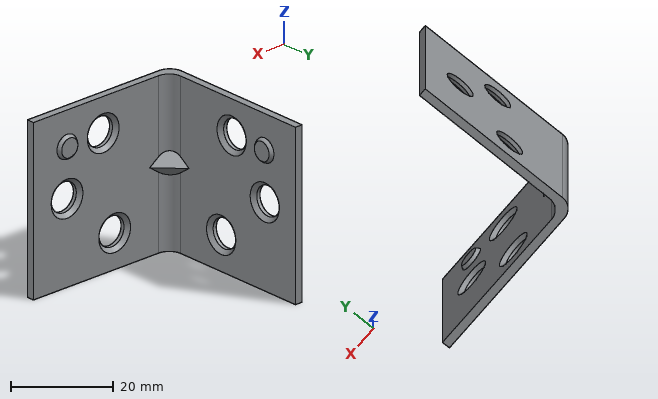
import cadquery as cq
import math

size = 38.1
thickness = 1.8
bend_radius = 3.05

hole_diameter = 6.6
hole_straight_depth = 0.88
countersink_angle = 90
mid_height = size / 2
row_offset = 11.15
far_hole_distance = 29.2
holes = [
    (19.6, mid_height + row_offset),
    (far_hole_distance, mid_height),
    (16.55, mid_height - row_offset),
]

nub_base_radius = 2.65
nub_middle_radius = 2.48
nub_top_radius = 2.15
nub_height = 0.8
nub_position = (far_hole_distance, mid_height + row_offset)

dart_leg = 5.45
dart_half_height = dart_leg / math.sqrt(2)


def make_angle():
    """L-shaped sheet with a rounded bend, extruded along Z."""
    outline = (
        cq.Workplane("XY")
        .polyline([(0, 0), (size, 0), (size, thickness), (thickness, thickness), (thickness, size), (0, size)])
        .close()
        .extrude(size)
    )
    outer_edge = cq.selectors.NearestToPointSelector((0, 0, mid_height))
    inner_edge = cq.selectors.NearestToPointSelector((thickness, thickness, mid_height))
    return outline.edges(outer_edge).fillet(bend_radius).edges(inner_edge).fillet(bend_radius)


def make_dart():
    """Wedge with its widest section at mid height, tapering into the corner above and below."""
    corner = cq.Vector(thickness, thickness, 0)
    along_x = corner + cq.Vector(dart_leg, 0, mid_height)
    along_y = corner + cq.Vector(0, dart_leg, mid_height)
    top = corner + cq.Vector(0, 0, mid_height + dart_half_height)
    bottom = corner + cq.Vector(0, 0, mid_height - dart_half_height)
    triangles = [
        (along_x, along_y, top),
        (along_y, along_x, bottom),
        (along_x, top, bottom),
        (along_y, bottom, top),
    ]
    faces = [cq.Face.makeFromWires(cq.Wire.makePolygon(points, close=True)) for points in triangles]
    return cq.Workplane(obj=cq.Solid.makeSolid(cq.Shell.makeShell(faces)))


def mirror_to_other_flange(body):
    """Swap X and Y by reflecting across the diagonal plane of the bend."""
    return body.mirror("XZ").rotate((0, 0, 0), (0, 0, 1), 90)


def make_hole_cutters():
    """Cutters through the flange that lies along X, widening toward its inner face."""
    cutters = cq.Workplane("XZ").pushPoints(holes).circle(hole_diameter / 2).extrude(-thickness)
    straight_radius = hole_diameter / 2
    countersink_depth = thickness - hole_straight_depth
    mouth_radius = straight_radius + countersink_depth * math.tan(math.radians(countersink_angle / 2))
    for distance, height in holes:
        base = cq.Vector(distance, hole_straight_depth, height)
        cone = cq.Solid.makeCone(straight_radius, mouth_radius, countersink_depth, base, cq.Vector(0, 1, 0))
        cutters = cutters.add(cone)
    return cutters.combine()


def make_nub():
    """Round nub with a convex flank on the inner face of the flange that lies along X."""
    distance, height = nub_position
    return (
        cq.Workplane("XY", origin=(distance, thickness, height))
        .lineTo(nub_base_radius, 0)
        .threePointArc((nub_middle_radius, nub_height / 2), (nub_top_radius, nub_height))
        .lineTo(0, nub_height)
        .close()
        .revolve(360, (0, 0), (0, 1))
    )


hole_cutters = make_hole_cutters()
nub = make_nub()

result = make_angle().union(make_dart())
result = result.union(nub).union(mirror_to_other_flange(nub))
result = result.cut(hole_cutters).cut(mirror_to_other_flange(hole_cutters))